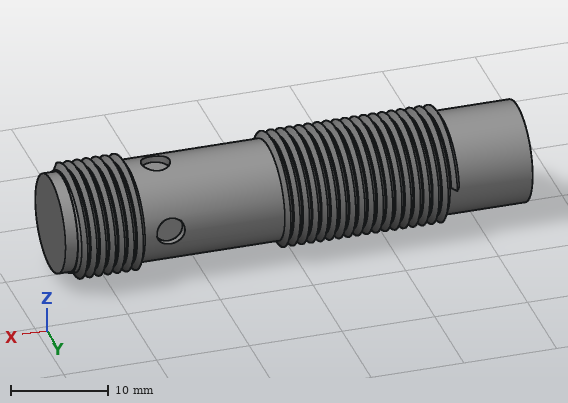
import cadquery as cq
import math

length = 50.35
body_radius = 5.4
collar_radius = 5.25
collar_length = 1.3

crest_diameter = 12.25
crest_radius = crest_diameter / 2
pitch_span = 18.0
pitch_turns = 18
pitch = pitch_span / pitch_turns
flank_angle = 30.0
root_overlap = 0.05
main_thread_start = 8.35
main_thread_turns = 18.5
main_thread_start_angle = 90.0
end_thread_start = 42.0
end_thread_turns = 6.6
end_thread_start_angle = 0.0

window_x = 39.0
window_diameter = 3.0
window_floor_radius = 4.5


def make_thread(start, turns, start_angle):
    """Right-handed V ridge along X whose crest begins at the given place."""
    root_radius = body_radius - root_overlap
    half_base = (crest_radius - root_radius) * math.tan(math.radians(flank_angle))
    helix = cq.Wire.makeHelix(pitch, turns * pitch, root_radius)
    ridge = (
        cq.Workplane("XZ")
        .moveTo(root_radius, -half_base)
        .lineTo(crest_radius, 0)
        .lineTo(root_radius, half_base)
        .close()
        .sweep(cq.Workplane(obj=helix), isFrenet=True)
    )
    along_x = ridge.rotate((0, 0, 0), (0, 1, 0), 90)
    return along_x.rotate((0, 0, 0), (1, 0, 0), start_angle).translate((start, 0, 0))


barrel = cq.Workplane("YZ").circle(body_radius).extrude(length - collar_length)
barrel = barrel.faces(">X").workplane().circle(collar_radius).extrude(collar_length)

window = (
    cq.Workplane("XY", origin=(window_x, 0, window_floor_radius))
    .circle(window_diameter / 2)
    .extrude(crest_radius - window_floor_radius)
)
for angle in (0, 90, 180, 270):
    barrel = barrel.cut(window.rotate((0, 0, 0), (1, 0, 0), angle))

main_thread = make_thread(main_thread_start, main_thread_turns, main_thread_start_angle)
end_thread = make_thread(end_thread_start, end_thread_turns, end_thread_start_angle)
result = barrel.union(main_thread).union(end_thread)